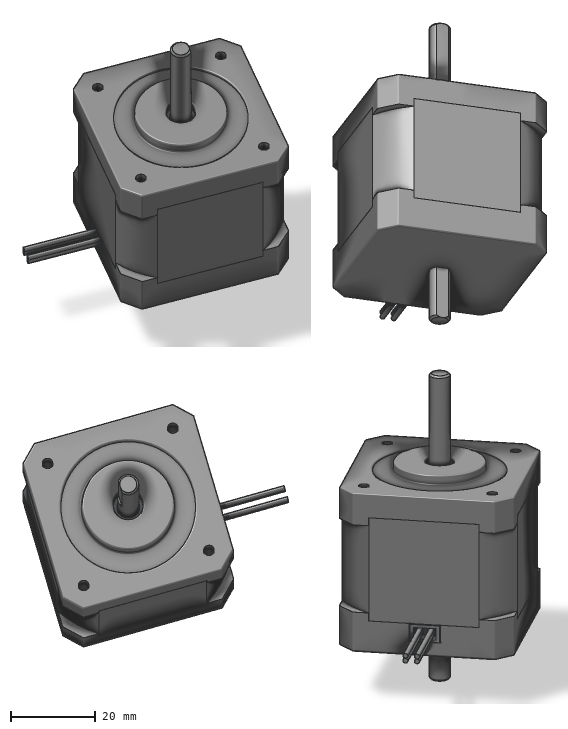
import cadquery as cq
import math

BODY_HEIGHT = 40.0
CAP_WIDTH = 42.3
CORNER_CUT = 4.0
CAP_EDGE_RADIUS = 0.5
LOWER_CAP_HEIGHT = 10.0
UPPER_CAP_HEIGHT = 8.0

STACK_WIDTH = 42.32
STACK_DIAMETER = 50.0
STACK_BOTTOM = 8.0
STACK_HEIGHT = 26.0

BOSS_DIAMETER = 22.0
BOSS_HEIGHT = 2.0
BOSS_EDGE_RADIUS = 0.5
RECESS_FLOOR_DIAMETER = 32.0
RECESS_DEPTH = 0.5

OPENING_DIAMETER = 7.0
OPENING_DEPTH = BOSS_HEIGHT
OPENING_EDGE_RADIUS = 0.5
BORE_DIAMETER = 5.4
BORE_DEPTH = 1.0

HOLE_SPACING = 31.0
HOLE_DIAMETER = 2.5
HOLE_DEPTH = 4.5
DRILL_TIP_ANGLE = 118.0

SHAFT_DIAMETER = 5.0
SHAFT_ABOVE_BODY = 24.0
SHAFT_BELOW_BODY = 13.0
SHAFT_CHAMFER = 0.48
FLAT_DISTANCE = 2.0
UPPER_FLAT_LENGTH = 15.0
LOWER_FLAT_LENGTH = SHAFT_BELOW_BODY

CONNECTOR_CENTER_X = 0.2
CONNECTOR_WIDTH = 7.2
CONNECTOR_BOTTOM = 3.5
CONNECTOR_GAP = 0.25
CONNECTOR_TOP = STACK_BOTTOM - CONNECTOR_GAP
GAP_DEPTH = 1.0
CONNECTOR_SETBACK = 0.1
CAVITY_WIDTH = 5.35
CAVITY_BOTTOM = 4.2
CAVITY_TOP = 7.0
CAVITY_DEPTH = 3.0

WIRE_DIAMETER = 1.2
WIRE_PITCH_X = 2.8
WIRE_PITCH_Z = 1.22
WIRE_CENTER_Z = 5.6
WIRE_END_Y = -39.15

FRONT_Y = -CAP_WIDTH / 2


def block(width, bottom, top, depth, center_x):
    """Box reaching from the -Y face of the caps inward."""
    box = cq.Workplane("XY").box(width, depth, top - bottom, centered=(True, False, False))
    return box.translate((center_x, FRONT_Y, bottom))


def make_cap(bottom, height, outer_face):
    cap = cq.Workplane("XY", origin=(0, 0, bottom)).rect(CAP_WIDTH, CAP_WIDTH).extrude(height)
    cap = cap.edges("|Z").chamfer(CORNER_CUT)
    cap = cap.edges("|Z").fillet(CAP_EDGE_RADIUS)
    return cap.faces(outer_face).edges().fillet(CAP_EDGE_RADIUS)


def make_stack():
    plane = cq.Workplane("XY", origin=(0, 0, STACK_BOTTOM))
    square = plane.rect(STACK_WIDTH, STACK_WIDTH).extrude(STACK_HEIGHT)
    return square.intersect(plane.circle(STACK_DIAMETER / 2).extrude(STACK_HEIGHT))


def make_recess():
    """Ring recess: its outer wall rounds over into the cap, its inner wall flares into the boss."""
    floor_z = BODY_HEIGHT - RECESS_DEPTH
    boss_radius = BOSS_DIAMETER / 2
    floor_radius = RECESS_FLOOR_DIAMETER / 2
    diagonal = RECESS_DEPTH * math.sqrt(0.5)
    inner_middle = (boss_radius + RECESS_DEPTH - diagonal, BODY_HEIGHT - diagonal)
    outer_middle = (floor_radius + RECESS_DEPTH - diagonal, floor_z + diagonal)
    return (
        cq.Workplane("XZ")
        .moveTo(boss_radius, BODY_HEIGHT)
        .threePointArc(inner_middle, (boss_radius + RECESS_DEPTH, floor_z))
        .lineTo(floor_radius, floor_z)
        .threePointArc(outer_middle, (floor_radius + RECESS_DEPTH, BODY_HEIGHT))
        .close()
        .revolve(360, (0, 0, 0), (0, 1, 0))
    )


def make_boss():
    boss = cq.Workplane("XY", origin=(0, 0, BODY_HEIGHT)).circle(BOSS_DIAMETER / 2).extrude(BOSS_HEIGHT)
    return boss.faces(">Z").edges().fillet(BOSS_EDGE_RADIUS)


def cut_shaft_opening(body):
    boss_top = cq.Workplane("XY", origin=(0, 0, BODY_HEIGHT + BOSS_HEIGHT))
    body = body.cut(boss_top.circle(OPENING_DIAMETER / 2).extrude(-OPENING_DEPTH))
    rim = cq.selectors.RadiusNthSelector(0)
    body = body.faces(">Z").edges(rim).fillet(OPENING_EDGE_RADIUS)
    opening_floor = boss_top.workplane(offset=-OPENING_DEPTH)
    return body.cut(opening_floor.circle(BORE_DIAMETER / 2).extrude(-BORE_DEPTH))


def make_mounting_holes():
    radius = HOLE_DIAMETER / 2
    tip_length = radius / math.tan(math.radians(DRILL_TIP_ANGLE / 2))
    profile = [(0, 0), (radius, 0), (radius, -HOLE_DEPTH), (0, -HOLE_DEPTH - tip_length)]
    drill = cq.Workplane("XZ").polyline(profile).close().revolve(360, (0, 0, 0), (0, 1, 0)).val()
    plane = cq.Workplane("XY", origin=(0, 0, BODY_HEIGHT))
    return plane.rarray(HOLE_SPACING, HOLE_SPACING, 2, 2).eachpoint(lambda place: drill.located(place))


def make_shaft():
    """Shaft with a chamfer and a flat on each end."""
    bottom = -SHAFT_BELOW_BODY
    top = BODY_HEIGHT + SHAFT_ABOVE_BODY
    shaft = cq.Workplane("XY", origin=(0, 0, bottom)).circle(SHAFT_DIAMETER / 2).extrude(top - bottom)
    shaft = shaft.faces("<Z or >Z").edges().chamfer(SHAFT_CHAMFER)
    for start, length in ((bottom, LOWER_FLAT_LENGTH), (top - UPPER_FLAT_LENGTH, UPPER_FLAT_LENGTH)):
        waste = cq.Workplane("XY").box(SHAFT_DIAMETER, SHAFT_DIAMETER, length, centered=(True, False, False))
        shaft = shaft.cut(waste.translate((0, FLAT_DISTANCE, start)))
    return shaft


def cut_connector(body):
    pocket_width = CONNECTOR_WIDTH + 2 * CONNECTOR_GAP
    pocket = block(pocket_width, CONNECTOR_BOTTOM, STACK_BOTTOM, GAP_DEPTH, CONNECTOR_CENTER_X)
    housing = block(CONNECTOR_WIDTH, CONNECTOR_BOTTOM, CONNECTOR_TOP, GAP_DEPTH, CONNECTOR_CENTER_X)
    housing = housing.translate((0, CONNECTOR_SETBACK, 0))
    cavity = block(CAVITY_WIDTH, CAVITY_BOTTOM, CAVITY_TOP, CAVITY_DEPTH, CONNECTOR_CENTER_X)
    return body.cut(pocket.cut(housing)).cut(cavity)


def make_wires():
    start_y = FRONT_Y + CAVITY_DEPTH
    return (
        cq.Workplane("XZ", origin=(CONNECTOR_CENTER_X, start_y, WIRE_CENTER_Z))
        .rarray(WIRE_PITCH_X, WIRE_PITCH_Z, 2, 2)
        .circle(WIRE_DIAMETER / 2)
        .extrude(start_y - WIRE_END_Y)
    )


lower_cap = make_cap(0, LOWER_CAP_HEIGHT, "<Z")
upper_cap = make_cap(BODY_HEIGHT - UPPER_CAP_HEIGHT, UPPER_CAP_HEIGHT, ">Z")
motor = lower_cap.union(upper_cap).union(make_stack())
motor = motor.cut(make_recess()).union(make_boss())
motor = cut_shaft_opening(motor)
motor = motor.cut(make_mounting_holes())
motor = cut_connector(motor)
motor = motor.union(make_shaft()).union(make_wires())
result = cq.Workplane(motor.solids().val())